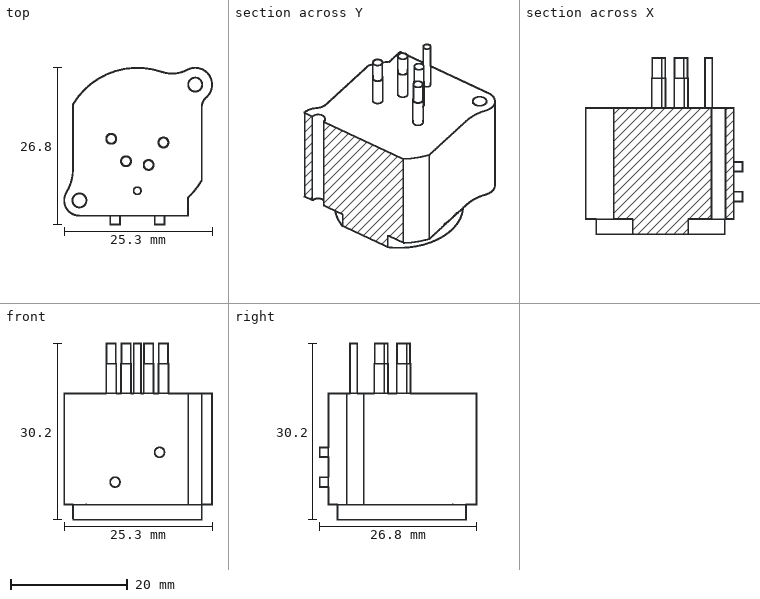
import cadquery as cq
import math


body_height = 19.03
rim_radius = 12.8
side_x = 11.02
front_y = -12.53
notch_x = 8.7

ear_offset = 9.9
back_ear_radius = rim_radius - ear_offset
front_ear_radius = -front_y - ear_offset
hole_diameter = 2.35

rim_blend_radius = 5.45
right_blend_radius = 2.25
left_blend_radius = 7.7

base_radius = side_x
base_height = 2.63

pin_height = 8.55
shoulder_height = 5.05
shoulder_radius = 0.88
tip_radius = 0.82
thin_pin_radius = 0.63
stepped_pin_places = [(-4.47, 0.63), (4.47, 0), (-1.93, -3.2), (1.93, -3.85)]
thin_pin_place = (0, -8.25)

peg_radius = 0.85
peg_length = 1.5
peg_places = [(-3.8, 3.85), (3.8, 8.95)]


def toward(start, end, distance):
    """Point at a given distance from start on the line to end."""
    ratio = distance / math.dist(start, end)
    return (start[0] + (end[0] - start[0]) * ratio, start[1] + (end[1] - start[1]) * ratio)


def arc_middle(center, radius, start, end):
    """Middle of the shorter arc between two points on a circle."""
    chord_middle = ((start[0] + end[0]) / 2, (start[1] + end[1]) / 2)
    return toward(center, chord_middle, radius)


def make_body():
    axis = (0, 0)
    back_ear = (ear_offset, ear_offset)
    front_ear = (-ear_offset, -ear_offset)

    rim_reach = rim_radius + rim_blend_radius
    ear_reach = back_ear_radius + rim_blend_radius
    ear_distance = math.hypot(*back_ear)
    apex_cosine = (rim_reach**2 + ear_distance**2 - ear_reach**2) / (2 * rim_reach * ear_distance)
    blend_angle = math.radians(45) + math.acos(apex_cosine)
    rim_blend = (rim_reach * math.cos(blend_angle), rim_reach * math.sin(blend_angle))
    rim_tangent = toward(axis, rim_blend, rim_radius)
    back_ear_start = toward(back_ear, rim_blend, back_ear_radius)

    right_blend_x = side_x + right_blend_radius
    right_reach = back_ear_radius + right_blend_radius
    right_blend_y = ear_offset - math.sqrt(right_reach**2 - (right_blend_x - ear_offset)**2)
    right_blend = (right_blend_x, right_blend_y)
    back_ear_end = toward(back_ear, right_blend, back_ear_radius)
    right_tangent = (side_x, right_blend_y)

    left_blend_x = -side_x - left_blend_radius
    left_reach = front_ear_radius + left_blend_radius
    left_blend_y = -ear_offset + math.sqrt(left_reach**2 - (left_blend_x + ear_offset)**2)
    left_blend = (left_blend_x, left_blend_y)
    front_ear_end = toward(front_ear, left_blend, front_ear_radius)
    left_tangent = (-side_x, left_blend_y)

    rim_side_y = math.sqrt(rim_radius**2 - side_x**2)
    rim_left = (-side_x, rim_side_y)
    rim_right = (side_x, -rim_side_y)
    rim_notch = (notch_x, -math.sqrt(rim_radius**2 - notch_x**2))

    front_ear_start = (-ear_offset, front_y)
    back_ear_tip = toward(axis, back_ear, ear_distance + back_ear_radius)
    outline = (
        cq.Workplane("XY")
        .moveTo(*rim_left)
        .threePointArc(arc_middle(axis, rim_radius, rim_left, rim_tangent), rim_tangent)
        .threePointArc(
            arc_middle(rim_blend, rim_blend_radius, rim_tangent, back_ear_start), back_ear_start)
        .threePointArc(back_ear_tip, back_ear_end)
        .threePointArc(
            arc_middle(right_blend, right_blend_radius, back_ear_end, right_tangent), right_tangent)
        .lineTo(*rim_right)
        .threePointArc(arc_middle(axis, rim_radius, rim_right, rim_notch), rim_notch)
        .lineTo(notch_x, front_y)
        .lineTo(*front_ear_start)
        .threePointArc(
            arc_middle(front_ear, front_ear_radius, front_ear_start, front_ear_end), front_ear_end)
        .threePointArc(
            arc_middle(left_blend, left_blend_radius, front_ear_end, left_tangent), left_tangent)
        .close()
    )
    body = outline.extrude(body_height)
    return body.faces(">Z").workplane(origin=(0, 0, body_height)).pushPoints(
        [back_ear, front_ear]).hole(hole_diameter)


def make_base():
    return cq.Workplane("XY").circle(base_radius).extrude(-base_height)


def make_pins(places, radius, height):
    return (
        cq.Workplane("XY").workplane(offset=body_height)
        .pushPoints(places).circle(radius).extrude(height)
    )


def make_pegs():
    return (
        cq.Workplane("XZ").workplane(offset=-front_y)
        .pushPoints(peg_places).circle(peg_radius).extrude(peg_length)
    )


result = (
    make_body()
    .union(make_base())
    .union(make_pins(stepped_pin_places, shoulder_radius, shoulder_height))
    .union(make_pins(stepped_pin_places, tip_radius, pin_height))
    .union(make_pins([thin_pin_place], thin_pin_radius, pin_height))
    .union(make_pegs())
)